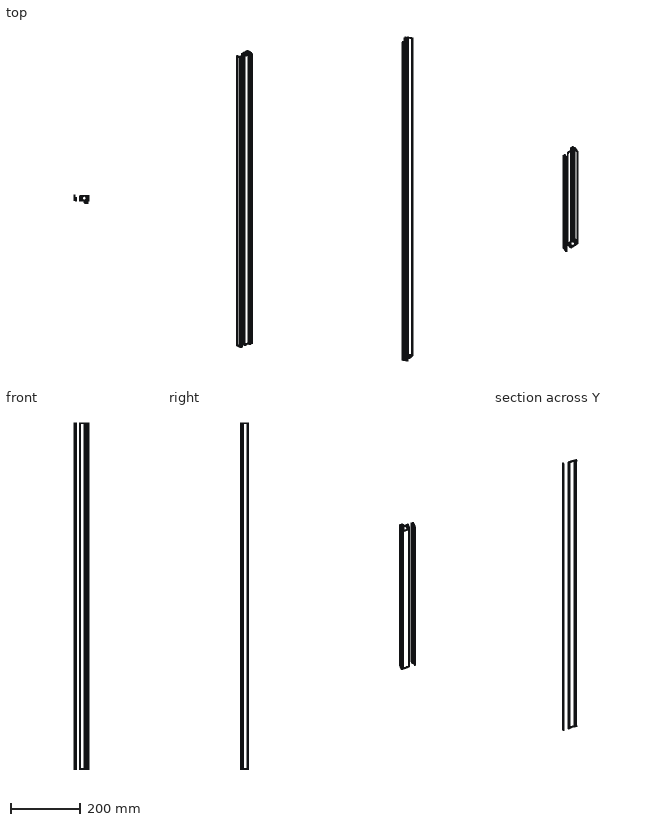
import cadquery as cq

LENGTH = 1000.0
WIDTH = 41.9
DEPTH = 22.99
WALL = 1.5

STRIP_BASE_Y = 6.6
STRIP_WIDTH = 6.0
BLOCK_HEIGHT = 8.4
LIP_WIDTH = 3.0
LIP_DROP = 0.8
GROOVE_WIDTH = 3.0
GROOVE_DEPTH = STRIP_WIDTH - 2 * WALL

FRAME_LEFT = 16.5
FRAME_BOTTOM = STRIP_BASE_Y
FRAME_TOP = 21.6
FRAME_CHAMFER = 2.5
FRAME_MID_Y = (FRAME_BOTTOM + FRAME_TOP) / 2
BORE_DIAMETER = 13.2
BORE_X = 28.9
LEFT_CHAMBER_WIDTH = 2.0
LEFT_CHAMBER_HEIGHT = 7.0
RIGHT_CHAMBER_WIDTH = 4.4
RIGHT_CHAMBER_HEIGHT = FRAME_TOP - FRAME_BOTTOM - 2 * WALL

SLOPED_LEG_OUTER_X = 29.6
SLOPE_TOP_Y = 2.2
SLOPED_LEG_TIP_X = 31.7
SLOPED_LEG_INNER_X = 32.8
STRAIGHT_LEG_X = 37.0
STRAIGHT_LEG_WIDTH = 2.0
WEB_BOTTOM_Y = 1.3


def prism(points):
    """Extrude a closed XY outline over the full length."""
    return cq.Workplane("XY").polyline(points).close().extrude(LENGTH)


def bar(x, y, width, height):
    """Full-length rectangular bar with its lower-left corner at (x, y)."""
    return cq.Workplane("XY").box(width, height, LENGTH, centered=False).translate((x, y, 0))


def make_strip():
    block_top = STRIP_BASE_Y + BLOCK_HEIGHT
    strip = prism([
        (0, STRIP_BASE_Y + LIP_DROP),
        (STRIP_WIDTH - LIP_WIDTH, STRIP_BASE_Y + LIP_DROP),
        (STRIP_WIDTH, STRIP_BASE_Y),
        (STRIP_WIDTH, block_top),
        (WALL, block_top),
        (WALL, DEPTH),
        (0, DEPTH),
    ])
    groove_y = STRIP_BASE_Y + (BLOCK_HEIGHT - GROOVE_WIDTH) / 2
    return strip.cut(bar(STRIP_WIDTH - GROOVE_DEPTH, groove_y, GROOVE_DEPTH, GROOVE_WIDTH))


def make_foot():
    sloped_leg = prism([
        (SLOPED_LEG_TIP_X, 0),
        (SLOPED_LEG_INNER_X, 0),
        (SLOPED_LEG_INNER_X, FRAME_BOTTOM),
        (SLOPED_LEG_OUTER_X, FRAME_BOTTOM),
        (SLOPED_LEG_OUTER_X, SLOPE_TOP_Y),
    ])
    straight_leg = bar(STRAIGHT_LEG_X, 0, STRAIGHT_LEG_WIDTH, FRAME_BOTTOM)
    web = bar(SLOPED_LEG_INNER_X, WEB_BOTTOM_Y, STRAIGHT_LEG_X - SLOPED_LEG_INNER_X, WALL)
    return sloped_leg.union(web).union(straight_leg)


def make_frame():
    section = prism([
        (FRAME_LEFT, FRAME_BOTTOM),
        (WIDTH, FRAME_BOTTOM),
        (WIDTH, FRAME_TOP),
        (FRAME_LEFT + FRAME_CHAMFER, FRAME_TOP),
        (FRAME_LEFT, FRAME_TOP - FRAME_CHAMFER),
    ])
    bore = cq.Workplane("XY").center(BORE_X, FRAME_MID_Y).circle(BORE_DIAMETER / 2).extrude(LENGTH)
    left_chamber = bar(FRAME_LEFT + WALL, FRAME_MID_Y - LEFT_CHAMBER_HEIGHT / 2,
                       LEFT_CHAMBER_WIDTH, LEFT_CHAMBER_HEIGHT)
    right_chamber = bar(WIDTH - WALL - RIGHT_CHAMBER_WIDTH, FRAME_MID_Y - RIGHT_CHAMBER_HEIGHT / 2,
                        RIGHT_CHAMBER_WIDTH, RIGHT_CHAMBER_HEIGHT)
    return section.union(make_foot()).cut(bore).cut(left_chamber).cut(right_chamber)


strip = make_strip()
frame = make_frame()
result = cq.Compound.makeCompound([strip.val(), frame.val()])